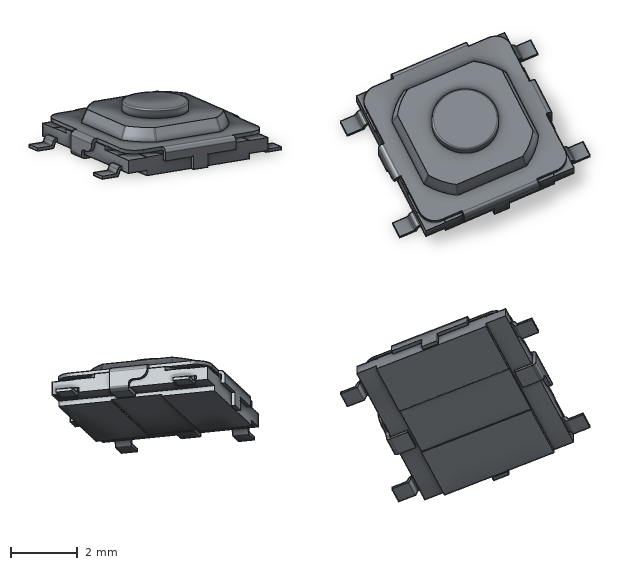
import cadquery as cq
import math

base_half = 2.45
base_top = 0.7
ledge_z = 0.165
keel_half = 1.8
slot_half = 0.795
slot_depth = 0.05
corner_floor_z = 0.58
corner_start = 1.11
corner_step_z = 0.57
corner_step_start = 1.8

sheet = 0.115
cover_half = 2.405
cover_corner_radius = 0.51
width_over_tabs = 5.2
tab_outer = width_over_tabs / 2
tab_inner = tab_outer - sheet
bend_radius = 0.15
bend_inner_radius = bend_radius - sheet
cover_top = base_top + sheet

side_tab_width = 2.48
side_tab_bottom = 0.41
side_leg_width = 0.505

hook_half = 0.59
hook_shoulder_z = 0.365
hook_inner_radius = 0.15
hook_foot_end = 1.895
hook_foot_radius = 0.125
hook_foot_inner_radius = hook_foot_radius - sheet

dome_half = 1.895
dome_height = 0.405
dome_draft = 22.5
dome_corner_radius = 2.21
dome_edge_radius = 0.08
dome_top = cover_top + dome_height

button_radius = 1.0
button_top = 1.5
button_edge_radius = 0.05

lead_x = 1.845
lead_width = 0.5
lead_thickness = 0.095
lead_top = 0.295
length_over_leads = 6.3
lead_tip = length_over_leads / 2
lead_slope = 68.0
lead_knee = 2.575
lead_knee_radius = 0.12
lead_small_radius = 0.025


def slab(x_half, y_half, z_low, z_high):
    """Box centred on the Z axis between two heights."""
    height = z_high - z_low
    return cq.Workplane("XY").workplane(offset=z_low).rect(2 * x_half, 2 * y_half).extrude(height)


def turned(shape):
    """The shape rotated half a turn about the Z axis."""
    return shape.rotate((0, 0, 0), (0, 0, 1), 180)


def round_edge(shape, point, radius):
    """Fillet the edge whose middle lies at the point."""
    return shape.edges(cq.selectors.NearestToPointSelector(point)).fillet(radius)


def make_corner_cut():
    """Cut at the +X +Y corner: a diagonal notch with a square, slightly deeper tip."""
    diagonal = [(corner_start, base_half), (base_half, base_half), (base_half, corner_start)]
    notch = (
        cq.Workplane("XY")
        .workplane(offset=corner_floor_z)
        .polyline(diagonal)
        .close()
        .extrude(base_top - corner_floor_z)
    )
    tip_size = base_half - corner_step_start
    tip_height = base_top - corner_step_z
    tip = cq.Workplane("XY").box(tip_size, tip_size, tip_height, centered=False)
    return notch.union(tip.translate((corner_step_start, corner_step_start, corner_step_z)))


def make_base():
    base = slab(base_half, base_half, ledge_z, base_top)
    base = base.union(slab(base_half, keel_half, 0, ledge_z))
    base = base.cut(slab(slot_half, keel_half, 0, slot_depth))
    corner = make_corner_cut()
    for quarter in range(4):
        base = base.cut(corner.rotate((0, 0, 0), (0, 0, 1), 90 * quarter))
    return base


def make_plate():
    plate = slab(cover_half, cover_half, base_top, cover_top)
    return plate.edges("|Z").fillet(cover_corner_radius)


def make_dome():
    inset = dome_height * math.tan(math.radians(dome_draft))
    pyramid = (
        cq.Workplane("XY")
        .workplane(offset=cover_top)
        .rect(2 * dome_half, 2 * dome_half)
        .extrude(dome_height, taper=dome_draft)
    )
    cone = cq.Workplane(
        cq.Solid.makeCone(
            dome_corner_radius, dome_corner_radius - inset, dome_height, pnt=cq.Vector(0, 0, cover_top)
        )
    )
    dome = pyramid.intersect(cone)
    rising_edges = cq.selectors.BoxSelector(
        (-dome_half, -dome_half, cover_top + dome_height / 4),
        (dome_half, dome_half, dome_top - dome_height / 4),
    )
    return dome.edges(rising_edges).fillet(dome_edge_radius)


def make_button():
    button = cq.Workplane("XY").workplane(offset=dome_top).circle(button_radius).extrude(button_top - dome_top)
    return button.faces(">Z").edges().fillet(button_edge_radius)


def make_side_tab():
    """T-shaped tab bent down from the +X edge of the cover."""
    profile = [
        (cover_half, base_top),
        (cover_half, cover_top),
        (tab_outer, cover_top),
        (tab_outer, 0),
        (tab_inner, 0),
        (tab_inner, base_top),
    ]
    tab = cq.Workplane("XZ").polyline(profile).close().extrude(side_tab_width / 2, both=True)
    tab = round_edge(tab, (tab_outer, 0, cover_top), bend_radius)
    tab = round_edge(tab, (tab_inner, 0, base_top), bend_inner_radius)
    beside_leg = slab(tab_outer, side_tab_width / 2, 0, side_tab_bottom)
    beside_leg = beside_leg.cut(slab(tab_outer, side_leg_width / 2, 0, side_tab_bottom))
    return tab.cut(beside_leg)


def make_hook_tab():
    """Tab bent down from the -Y edge of the cover and hooked under the base."""
    foot_bottom = ledge_z - sheet
    profile = [
        (-cover_half, base_top),
        (-cover_half, cover_top),
        (-tab_outer, cover_top),
        (-tab_outer, foot_bottom),
        (-hook_foot_end, foot_bottom),
        (-hook_foot_end, ledge_z),
        (-tab_inner, ledge_z),
        (-tab_inner, base_top),
    ]
    tab = cq.Workplane("YZ").polyline(profile).close().extrude(hook_half, both=True)
    tab = round_edge(tab, (0, -tab_outer, cover_top), bend_radius)
    tab = round_edge(tab, (0, -tab_inner, base_top), bend_inner_radius)
    tab = round_edge(tab, (0, -tab_outer, foot_bottom), hook_foot_radius)
    tab = round_edge(tab, (0, -tab_inner, ledge_z), hook_foot_inner_radius)

    arc_start_z = cover_top - bend_radius
    shoulder_radius = arc_start_z - hook_shoulder_z
    outline = (
        cq.Workplane("XZ")
        .moveTo(-hook_half, 0)
        .lineTo(-hook_half, cover_top)
        .lineTo(hook_half, cover_top)
        .lineTo(hook_half, arc_start_z)
        .radiusArc((hook_half - shoulder_radius, hook_shoulder_z), shoulder_radius)
        .lineTo(hook_inner_radius, hook_shoulder_z)
        .radiusArc((0, hook_shoulder_z - hook_inner_radius), -hook_inner_radius)
        .lineTo(0, 0)
        .close()
        .extrude(tab_outer)
    )
    return tab.intersect(outline)


def make_lead():
    """Gull-wing lead on the +Y side, centred on X = 0."""
    slope = math.radians(lead_slope)
    slope_width = lead_thickness / math.sin(slope)
    lead_bottom = lead_top - lead_thickness

    def outer_y(z):
        return lead_knee + (lead_top - z) / math.tan(slope)

    knee = (lead_knee, lead_top)
    inner_knee = (outer_y(lead_bottom) - slope_width, lead_bottom)
    toe = (outer_y(lead_thickness), lead_thickness)
    heel = (outer_y(0) - slope_width, 0)
    profile = [
        (base_half, lead_top),
        knee,
        toe,
        (lead_tip, lead_thickness),
        (lead_tip, 0),
        heel,
        inner_knee,
        (base_half, lead_bottom),
    ]
    lead = cq.Workplane("YZ").polyline(profile).close().extrude(lead_width / 2, both=True)
    lead = round_edge(lead, (0, *knee), lead_knee_radius)
    for bend in (inner_knee, toe, heel):
        lead = round_edge(lead, (0, *bend), lead_small_radius)
    return lead


result = make_base().union(make_plate()).union(make_dome()).union(make_button())

for tab in (make_side_tab(), make_hook_tab()):
    result = result.union(tab).union(turned(tab))

for x in (-lead_x, lead_x):
    lead = make_lead().translate((x, 0, 0))
    result = result.union(lead).union(turned(lead))